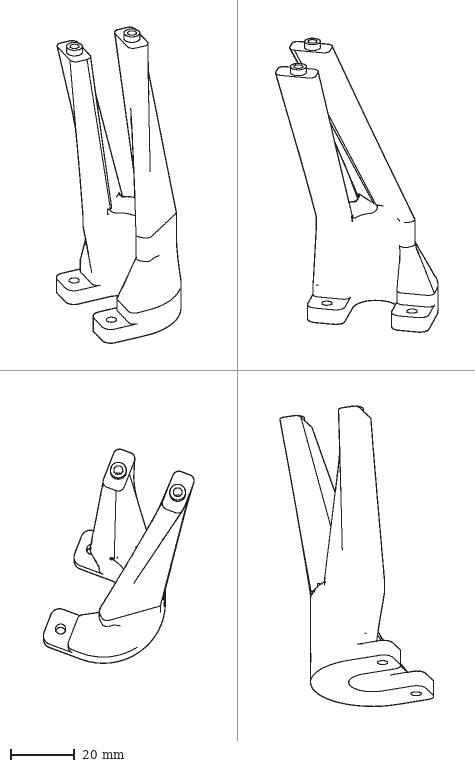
import cadquery as cq
import math

BORE_R = 7.5
RING_R = 19.5
EDGE_R = 2.0

FOOT_H = 5.0
BASE_TOP = 9.0
WAIST_Z = 21.5
COLLAR_BOTTOM = 26.0
COLLAR_TOP = 30.0
PAD_Z = 81.0
PIN_TOP = 83.0

LEG_Y = -5.0
FOOT_Y = -13.64
FOOT_CORNER_R = 3.0
SCREW_D = 3.2
SCREW_X = 13.7
SCREW_Y = -9.1

PAD_LEFT = -31.0
PAD_LENGTH = 13.0
PAD_WIDTH = 7.0
PIN_X = -24.0
PIN_D = 5.0
PIN_HOLE_D = 2.75
PIN_HOLE_DEPTH = 10.0
BACK_PAD_Y = 15.8
FRONT_PAD_Y = -4.1

FLAT_ANGLE = 36.9
FLAT_DIST = 12.45
RIGHT_END_ANGLE = 315.0
LEFT_END_ANGLE = 228.0
LEFT_END_DIST = 12.72
RIGHT_INNER_ANGLE = 25.2
SIDE_R = RING_R - EDGE_R
SIDE_ANGLE = 176.0
SIDE_SPLIT = SIDE_ANGLE - 2.0

BACK_ROOT_INNER = 92.0
BACK_ROOT_OUTER = 120.0
FRONT_ROOT_Y = 0.8
FRONT_ROOT_OUTER = 152.0
ROOT_END_SHARE = 0.1
BACK_FACE_ANGLE = 72.0
FRONT_FACE_ANGLE = 102.0
FLAT_SPLIT_SHARE = 0.1
AXIS = (0, 0)


TOUCHING = 1e-6


def polar(radius, angle, center=(0, 0)):
    turn = math.radians(angle)
    return (center[0] + radius * math.cos(turn), center[1] + radius * math.sin(turn))


def arc(center, radius, start, end):
    """Three points of an arc between two angles."""
    return [polar(radius, angle, center) for angle in (start, (start + end) / 2, end)]


def line(start, end):
    return [start, end]


def between(start, end, fraction):
    return tuple(a + fraction * (b - a) for a, b in zip(start, end))


def joined(pieces):
    """Close a chain of pieces with a straight line in each gap."""
    chain = []
    for piece, following in zip(pieces, pieces[1:] + pieces[:1]):
        chain.append(piece)
        if math.dist(piece[-1], following[0]) > TOUCHING:
            chain.append(line(piece[-1], following[0]))
    return chain


def edges_at(outline, z):
    edges = []
    for piece in outline:
        points = [cq.Vector(x, y, z) for x, y in piece]
        if len(points) == 2:
            edges.append(cq.Edge.makeLine(*points))
        else:
            edges.append(cq.Edge.makeThreePointArc(*points))
    return edges


def prism(outline, bottom, top):
    wire = cq.Wire.assembleEdges(edges_at(outline, bottom))
    return cq.Workplane(cq.Solid.extrudeLinear(wire, [], cq.Vector(0, 0, top - bottom)))


def blend(lower_outline, lower_z, upper_outline, upper_z):
    """Solid whose walls join matching pieces of two outlines with straight rulings."""
    lower = edges_at(lower_outline, lower_z)
    upper = edges_at(upper_outline, upper_z)
    faces = [cq.Face.makeRuledSurface(a, b) for a, b in zip(lower, upper)]
    for ends in (lower, upper):
        faces.append(cq.Face.makeFromWires(cq.Wire.assembleEdges(ends)))
    solid = cq.Solid.makeSolid(cq.Shell.makeShell(faces))
    return cq.Workplane(solid.fix())


def right_end_centers():
    inner = polar(BORE_R + EDGE_R, RIGHT_INNER_ANGLE)
    flat = math.radians(FLAT_ANGLE)
    run = math.radians(RIGHT_END_ANGLE + 90)
    inner_dist = inner[0] * math.cos(flat) + inner[1] * math.sin(flat)
    travel = (FLAT_DIST - EDGE_R - inner_dist) / math.cos(run - flat)
    return inner, polar(travel, RIGHT_END_ANGLE + 90, inner)


INNER_CENTER, OUTER_CENTER = right_end_centers()
RIGHT_INNER = arc(INNER_CENTER, EDGE_R, RIGHT_INNER_ANGLE + 180, RIGHT_END_ANGLE)
RIGHT_OUTER = arc(OUTER_CENTER, EDGE_R, RIGHT_END_ANGLE, FLAT_ANGLE + 360)
FLAT_TOP_ANGLE = FLAT_ANGLE + math.degrees(math.acos(FLAT_DIST / RING_R))
FLAT_TOP = polar(RING_R, FLAT_TOP_ANGLE)

LEFT_OUTER = arc(polar(SIDE_R, SIDE_ANGLE), EDGE_R, SIDE_ANGLE, LEFT_END_ANGLE)
LEFT_INNER_X = -BORE_R - EDGE_R
LEFT_NORMAL = polar(1, LEFT_END_ANGLE)
LEFT_INNER_Y = (LEFT_END_DIST - EDGE_R - LEFT_INNER_X * LEFT_NORMAL[0]) / LEFT_NORMAL[1]
LEFT_INNER = arc((LEFT_INNER_X, LEFT_INNER_Y), EDGE_R, LEFT_END_ANGLE, 360)

BACK_ROOT = (polar(RING_R, BACK_ROOT_OUTER), polar(BORE_R, BACK_ROOT_INNER))
FRONT_ROOT = ((-BORE_R, FRONT_ROOT_Y), polar(RING_R, FRONT_ROOT_OUTER))


def slot_block(width, front, height):
    """Block on the centre line, reaching from a front plane back to the bore axis."""
    block = cq.Workplane().box(width, -front, height, centered=(True, False, False))
    return block.translate((0, front, 0))


def make_bore(front, height):
    """Round bore with the gap that opens it to the front."""
    return cq.Workplane().circle(BORE_R).extrude(height).union(slot_block(2 * BORE_R, front, height))


def make_u_block(front, corner_r, height):
    """Half ring with two straight legs whose front corners are rounded."""
    legs = slot_block(2 * RING_R, front, height).cut(make_bore(front, height))
    legs = legs.edges("|Z and <Y").fillet(corner_r)
    front_half = slot_block(2 * RING_R, -RING_R, height)
    ring = cq.Workplane().circle(RING_R).extrude(height).cut(front_half)
    return legs.union(ring.cut(make_bore(front, height)))


def make_horseshoe():
    body = make_u_block(LEG_Y, EDGE_R, BASE_TOP)
    feet = make_u_block(FOOT_Y, FOOT_CORNER_R, FOOT_H)
    screws = cq.Workplane().pushPoints([(-SCREW_X, SCREW_Y), (SCREW_X, SCREW_Y)])
    return body.union(feet).cut(screws.circle(SCREW_D / 2).extrude(FOOT_H))


def make_right_wall():
    """Wall under the right end of the collar; it flares out below a narrow waist."""
    foot = joined([
        arc((BORE_R + EDGE_R, LEG_Y + EDGE_R), EDGE_R, 180, 270),
        arc((SIDE_R, LEG_Y + EDGE_R), EDGE_R, 270, 360),
        arc(AXIS, RING_R, 0, FLAT_TOP_ANGLE),
        line(FLAT_TOP, AXIS),
    ])
    flat_split = between(RIGHT_OUTER[-1], FLAT_TOP, FLAT_SPLIT_SHARE)

    def outline(outer_side):
        return joined([
            RIGHT_INNER,
            RIGHT_OUTER,
            line(RIGHT_OUTER[-1], flat_split),
            outer_side,
            line(FLAT_TOP, AXIS),
        ])

    collar = outline(line(flat_split, FLAT_TOP))
    rise = (WAIST_Z - BASE_TOP) / (COLLAR_BOTTOM - BASE_TOP)
    foot_middle = polar(RING_R, FLAT_TOP_ANGLE / 2)
    flat_middle = between(flat_split, FLAT_TOP, 0.5)
    waist = outline([flat_split, between(foot_middle, flat_middle, rise), FLAT_TOP])
    flare = blend(foot, BASE_TOP, waist, WAIST_Z)
    neck = blend(waist, WAIST_Z, collar, COLLAR_BOTTOM)
    return flare.union(neck).union(prism(collar, COLLAR_BOTTOM, COLLAR_TOP))


def make_left_wall():
    corner_y = LEG_Y + EDGE_R
    foot = joined([
        line(AXIS, FLAT_TOP),
        arc(AXIS, RING_R, FLAT_TOP_ANGLE, 180),
        line((-RING_R, 0), (-RING_R, corner_y)),
        arc((-SIDE_R, corner_y), EDGE_R, 180, 270),
        arc((-BORE_R - EDGE_R, corner_y), EDGE_R, 270, 360),
    ])
    collar = joined([
        line(AXIS, FLAT_TOP),
        arc(AXIS, RING_R, FLAT_TOP_ANGLE, SIDE_SPLIT),
        arc(AXIS, RING_R, SIDE_SPLIT, SIDE_ANGLE),
        LEFT_OUTER,
        LEFT_INNER,
    ])
    wall = blend(foot, BASE_TOP, collar, COLLAR_BOTTOM)
    return wall.union(prism(collar, COLLAR_BOTTOM, COLLAR_TOP))


def pad_outline(pad_y):
    """Rounded pad, anticlockwise from its front right corner; the back edge is in two halves."""
    left, right = PAD_LEFT + EDGE_R, PAD_LEFT + PAD_LENGTH - EDGE_R
    front, back = pad_y - PAD_WIDTH / 2 + EDGE_R, pad_y + PAD_WIDTH / 2 - EDGE_R
    back_middle = ((left + right) / 2, back + EDGE_R)
    return joined([
        arc((right, front), EDGE_R, 270, 360),
        arc((right, back), EDGE_R, 0, 90),
        line((right, back + EDGE_R), back_middle),
        line(back_middle, (left, back + EDGE_R)),
        arc((left, back), EDGE_R, 90, 180),
        arc((left, front), EDGE_R, 180, 270),
    ])


def back_arm_root():
    """Footprint on the collar, piece for piece in the order of the pad outline."""
    outer, inner = BACK_ROOT
    flat_start = between(outer, inner, ROOT_END_SHARE)
    flat_end = between(inner, outer, ROOT_END_SHARE)
    return joined([
        RIGHT_INNER,
        RIGHT_OUTER,
        line(RIGHT_OUTER[-1], FLAT_TOP),
        arc(AXIS, RING_R, FLAT_TOP_ANGLE, BACK_ROOT_OUTER),
        line(outer, flat_start),
        line(flat_start, flat_end),
        line(flat_end, inner),
        arc(AXIS, BORE_R, BACK_ROOT_INNER, RIGHT_INNER_ANGLE),
    ])


def front_arm_root():
    """Footprint on the collar, piece for piece in the order of the pad outline."""
    inner, outer = FRONT_ROOT
    corner_end = between(inner, outer, ROOT_END_SHARE)
    slant_start = between(LEFT_OUTER[-1], LEFT_INNER[0], ROOT_END_SHARE / 2)
    return [
        LEFT_INNER,
        line(LEFT_INNER[-1], inner),
        line(inner, corner_end),
        line(corner_end, outer),
        arc(AXIS, RING_R, FRONT_ROOT_OUTER, SIDE_SPLIT),
        arc(AXIS, RING_R, SIDE_SPLIT, SIDE_ANGLE),
        LEFT_OUTER,
        line(LEFT_OUTER[-1], slant_start),
        line(slant_start, LEFT_INNER[0]),
    ]


def make_arm(root, pad_y):
    """Arm leaning from the collar to its pad, with a hollow pin on top."""
    arm = blend(root, COLLAR_TOP, pad_outline(pad_y), PAD_Z)
    pin = cq.Workplane(origin=(PIN_X, pad_y, PAD_Z)).circle(PIN_D / 2).extrude(PIN_TOP - PAD_Z)
    hole = cq.Workplane(origin=(PIN_X, pad_y, PIN_TOP)).circle(PIN_HOLE_D / 2).extrude(-PIN_HOLE_DEPTH)
    return arm.union(pin).cut(hole)


def make_gap_edge():
    """Material outside the rounded outer edge of the collar top, between the arm roots."""
    low = COLLAR_TOP - EDGE_R
    profile = (
        cq.Workplane("XZ")
        .moveTo(RING_R - EDGE_R, COLLAR_TOP)
        .threePointArc(polar(EDGE_R, 45, (RING_R - EDGE_R, low)), (RING_R, low))
        .lineTo(RING_R + EDGE_R, low)
        .lineTo(RING_R + EDGE_R, COLLAR_TOP)
        .close()
    )
    corner = profile.revolve(FRONT_ROOT_OUTER - BACK_ROOT_OUTER, (0, 0, 0), (0, 1, 0))
    return corner.rotate((0, 0, 0), (0, 0, 1), BACK_ROOT_OUTER)


def make_root_fillet(root_line, face_angle):
    """Concave fillet along a root line; the gap lies to the right of the line.

    face_angle is the angle between the collar top in the gap and the arm's face.
    """
    start, end = root_line
    middle = between(start, end, 0.5)
    length = math.dist(start, end)
    along = ((end[0] - start[0]) / length, (end[1] - start[1]) / length)
    to_gap = (along[1], -along[0], 0)
    backward = (-along[0], -along[1], 0)
    plane = cq.Plane(origin=(*middle, COLLAR_TOP), xDir=to_gap, normal=backward)
    half = math.radians(face_angle / 2)
    reach = EDGE_R / math.tan(half)
    face_end = polar(reach, face_angle)
    strip = (
        cq.Workplane(plane)
        .moveTo(reach, 0)
        .threePointArc(polar(EDGE_R / math.sin(half) - EDGE_R, face_angle / 2), face_end)
        .lineTo(-EDGE_R / 2, face_end[1])
        .lineTo(-EDGE_R / 2, 0)
        .close()
        .extrude(length, both=True)
    )
    ring = cq.Workplane(origin=(0, 0, COLLAR_TOP)).circle(RING_R - EDGE_R).circle(BORE_R).extrude(2 * EDGE_R)
    return strip.intersect(ring)


result = make_horseshoe().union(make_right_wall()).union(make_left_wall())
result = result.cut(make_bore(FOOT_Y, COLLAR_TOP)).cut(make_gap_edge())
result = result.union(make_arm(back_arm_root(), BACK_PAD_Y)).union(make_arm(front_arm_root(), FRONT_PAD_Y))
result = result.union(make_root_fillet(BACK_ROOT, BACK_FACE_ANGLE))
result = result.union(make_root_fillet(FRONT_ROOT, FRONT_FACE_ANGLE))